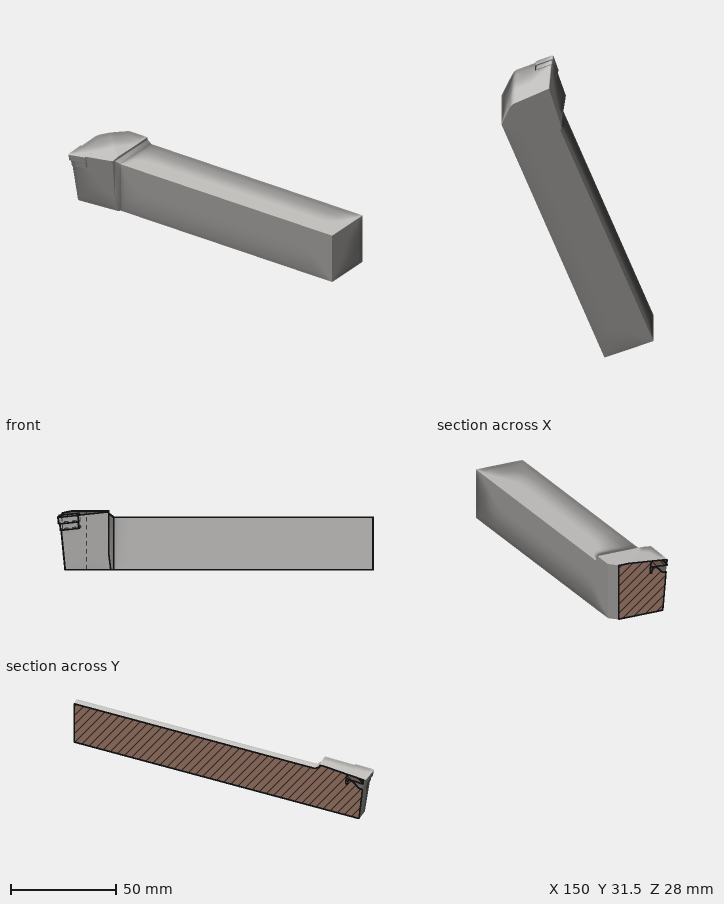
import cadquery as cq
import math

length = 150.0
shank_size = 25.0
height = 28.0
front_overhang = 6.5
head_end = 24.3
neck_length = 2.2
neck_step = 1.8

nose_radius = 0.8
insert_edge = 9.6
insert_thickness = 3.1
half_angle = math.radians(40)
rake_angle = math.radians(8)

shim_inset = 0.52
shim_thickness = 3.1

flank_inset = 0.82
flank_tip_radius = 0.6
flank_reach = 45.0
bevel_offset = 12.7
bevel_radius = 4.8
prism_depth = 45.0
prism_back = 60.0

rake_plane = cq.Plane(
    origin=(nose_radius, nose_radius - front_overhang, shank_size),
    xDir=(1, -1, 0),
    normal=(-math.sin(rake_angle), -math.sin(rake_angle), math.sqrt(2) * math.cos(rake_angle)),
)
sharp_tip = -nose_radius / math.sin(half_angle)


def inset_tip(inset):
    """Local Y of the sharp corner after moving both cutting edges inward."""
    return sharp_tip + inset / math.sin(half_angle)


def rhombus(inset, thickness, depth):
    """Rhombic plate with rounded corners, its top at a depth below the rake plane."""
    half_diagonal = insert_edge * math.cos(half_angle)
    half_width = insert_edge * math.sin(half_angle) - inset / math.cos(half_angle)
    center = sharp_tip + half_diagonal
    tip = inset_tip(inset)
    points = [(0, tip), (half_width, center), (0, 2 * center - tip), (-half_width, center)]
    return (
        cq.Workplane(rake_plane)
        .workplane(offset=-depth)
        .polyline(points)
        .close()
        .extrude(-thickness)
        .edges(cq.selectors.ParallelDirSelector(rake_plane.zDir))
        .fillet(nose_radius)
    )


def edge_at(x, y):
    """Selector for the prism edge that passes through a local point of the rake plane."""
    middle = rake_plane.toWorldCoords((x, y, -prism_depth / 2))
    return cq.selectors.NearestToPointSelector(middle.toTuple())


def make_flank_prism():
    """Head outline extruded square to the rake plane, which gives the flanks their relief."""
    tip = inset_tip(flank_inset)
    right_end = (flank_reach * math.sin(half_angle), tip + flank_reach * math.cos(half_angle))
    bevel_start = tip + bevel_offset / math.tan(half_angle)
    points = [
        (0, tip),
        right_end,
        (right_end[0], prism_back),
        (-bevel_offset, prism_back),
        (-bevel_offset, bevel_start),
    ]
    prism = cq.Workplane(rake_plane).polyline(points).close().extrude(-prism_depth)
    prism = prism.edges(edge_at(0, tip)).fillet(flank_tip_radius)
    return prism.edges(edge_at(-bevel_offset, bevel_start)).fillet(bevel_radius)


def make_neck():
    """Taper from the head down to the shank, on the front and top sides."""
    head_side = cq.Wire.makePolygon(
        [
            cq.Vector(head_end, y, z)
            for y, z in [
                (-neck_step, 0),
                (shank_size, 0),
                (shank_size, shank_size + neck_step),
                (-neck_step, shank_size + neck_step),
            ]
        ],
        close=True,
    )
    shank_side = cq.Wire.makePolygon(
        [
            cq.Vector(head_end + neck_length, y, z)
            for y, z in [(0, 0), (shank_size, 0), (shank_size, shank_size), (0, shank_size)]
        ],
        close=True,
    )
    return cq.Workplane(cq.Solid.makeLoft([head_side, shank_side], True))


def make_holder():
    head = cq.Workplane().box(head_end, shank_size + front_overhang, height, centered=False)
    head = head.translate((0, -front_overhang, 0))
    head = head.union(make_neck()).intersect(make_flank_prism())

    shank_start = head_end + neck_length
    shank = cq.Workplane().box(length - shank_start, shank_size, shank_size, centered=False)
    holder = head.union(shank.translate((shank_start, 0, 0)))

    holder = holder.cut(rhombus(0, insert_thickness + shim_thickness, 0))
    return holder.union(rhombus(shim_inset, shim_thickness, insert_thickness))


holder = make_holder()
insert = rhombus(0, insert_thickness, 0)

result = cq.Compound.makeCompound([holder.solids().val(), insert.solids().val()])